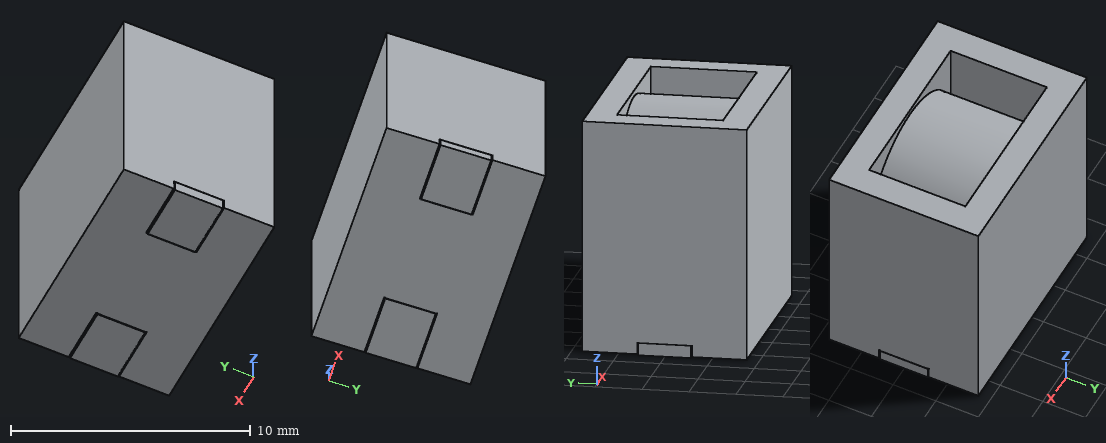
import cadquery as cq

length = 10.0
width = 7.0
total_height = 10.05
standoff = 0.05
wall = 1.25

core_top_gap = 0.25
cavity_length = length - 2 * wall
cavity_width = width - 2 * wall
core_radius = cavity_length / 2
core_axis_z = total_height - core_top_gap - core_radius

terminal_width = 2.23
terminal_foot = 2.62
terminal_top_z = 0.54
terminal_thickness = 0.1
groove_clearance = 0.05
terminal_inset = 0.01
groove_width = terminal_width + 2 * groove_clearance


def make_housing():
    """Block with a rectangular cavity whose floor lies at the core axis."""
    block = cq.Workplane("XY").workplane(offset=standoff).rect(length, width).extrude(total_height - standoff)
    cavity = (
        cq.Workplane("XY")
        .workplane(offset=core_axis_z)
        .rect(cavity_length, cavity_width)
        .extrude(total_height - core_axis_z)
    )
    return block.cut(cavity)


def make_core():
    """Cylinder spanning the cavity; its lower half merges with the housing."""
    return (
        cq.Workplane("XZ")
        .workplane(offset=-cavity_width / 2)
        .center(0, core_axis_z)
        .circle(core_radius)
        .extrude(cavity_width)
    )


def make_angle(side, angle_width, inset):
    """L-section running up an end face and in under the base; side is -1 or 1."""
    end_x = side * length / 2
    outer_x = end_x - side * inset
    inner_x = end_x - side * terminal_thickness
    toe_x = end_x - side * terminal_foot
    return (
        cq.Workplane("XZ")
        .polyline([
            (outer_x, 0),
            (outer_x, terminal_top_z),
            (inner_x, terminal_top_z),
            (inner_x, terminal_thickness),
            (toe_x, terminal_thickness),
            (toe_x, 0),
        ])
        .close()
        .extrude(angle_width / 2, both=True)
    )


result = make_housing().union(make_core())
for side in (-1, 1):
    result = result.cut(make_angle(side, groove_width, 0))
    result = result.union(make_angle(side, terminal_width, terminal_inset))